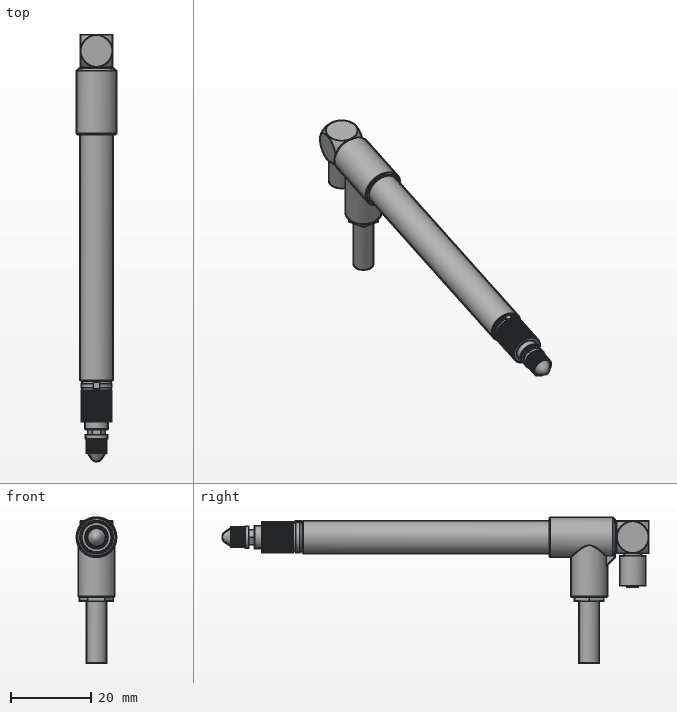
import cadquery as cq
import math


block_size = 8.1
block_face_diameter = 7.9
link_diameter = 7.0
jack_diameter = 6.6
jack_neck_diameter = 4.5
jack_pin_diameter = 2.9
jack_top = 4.7
jack_bottom = 12.2
jack_pin_bottom = 12.5

housing_diameter = 10.0
housing_start = 8.4
housing_end = 25.0
housing_rear_chamfer = 0.6
housing_front_chamfer = 0.3
outlet_position = 14.9
outlet_diameter = 9.2
outlet_bottom = 15.0
outlet_chamfer = 0.3
hex_nut_flats = 7.4
hex_nut_bottom = 16.0
cable_diameter = 5.1
cable_bottom = 31.5
web_thickness = 3.6
web_reach = 2.6

barrel_diameter = 8.3
barrel_end = 86.4

sleeve_diameter = 7.7
sleeve_end = 96.8
knurl_depth = 0.16
sleeve_flutes = 36
ring_count = 12
ring_pitch = 0.6
ring_width = 0.2
flute_share = 0.5
band_groove_width = 0.6
band_groove_inset = 0.2
key_length = 1.6
key_width = 1.6
key_rear_gap = 0.4

collar_diameter = 5.8
collar_end = 98.7
collar_chamfer = 0.2
neck_flats = 3.8
neck_end = 100.0
rim_diameter = 5.5
rim_end = 100.9
crown_diameter = 5.1
crown_flutes = 24
crown_end = 104.6
nose_base_diameter = 4.5
nose_tip_radius = 1.2
nose_tip_height = 0.5
overall_length = 106.7


def along_axis(distance):
    """Workplane across the main axis; its normal points forward (-Y)."""
    return cq.Workplane("XZ", origin=(0, -distance, 0))


def rod(diameter, start, end):
    """Cylinder on the main axis between two distances from the rear face."""
    return along_axis(start).circle(diameter / 2).extrude(end - start)


def hanging(position, depth):
    """Workplane facing down, at a given depth below the main axis."""
    return cq.Workplane("XY", origin=(0, -position, -depth))


def drop(diameter, position, top, bottom):
    """Vertical cylinder hanging between two depths below the main axis."""
    return hanging(position, top).circle(diameter / 2).extrude(top - bottom)


def hex_corner_diameter(across_flats):
    return across_flats / math.cos(math.pi / 6)


def fluted_rod(diameter, flutes, groove_share, start, end):
    """Rod with V-shaped lengthwise flutes; groove_share is their part of the circumference."""
    crest_radius = diameter / 2
    valley_radius = crest_radius - knurl_depth
    pitch = 2 * math.pi / flutes
    half_groove = pitch * groove_share / 2
    outline = [
        (radius, i * pitch + offset)
        for i in range(flutes)
        for radius, offset in (
            (crest_radius, -half_groove),
            (valley_radius, 0),
            (crest_radius, half_groove),
        )
    ]
    points = [(radius * math.cos(angle), radius * math.sin(angle)) for radius, angle in outline]
    return along_axis(start).polyline(points).close().extrude(end - start)


def ring_groove(start, width):
    """Ring-shaped cutter for a shallow groove around the sleeve."""
    return (
        along_axis(start)
        .circle(sleeve_diameter / 2 + knurl_depth)
        .circle(sleeve_diameter / 2 - knurl_depth)
        .extrude(width)
    )


def elbow_block():
    """Cube whose corners are rounded by a sphere, leaving a round flat on each face."""
    center = (0, -block_size / 2, 0)
    sphere_radius = math.hypot(block_size / 2, block_face_diameter / 2)
    cube = cq.Workplane("XY").box(block_size, block_size, block_size).translate(center)
    return cube.intersect(cq.Workplane("XY").sphere(sphere_radius).translate(center))


def jack():
    position = block_size / 2
    body = drop(jack_diameter, position, jack_top, jack_bottom)
    body = body.union(drop(jack_neck_diameter, position, 0, jack_top))
    return body.union(drop(jack_pin_diameter, position, jack_bottom, jack_pin_bottom))


def housing():
    tube = rod(housing_diameter, housing_start, housing_end)
    tube = tube.faces(">Y").chamfer(housing_rear_chamfer)
    return tube.faces("<Y").chamfer(housing_front_chamfer)


def cable_outlet():
    outlet = drop(outlet_diameter, outlet_position, 0, outlet_bottom)
    outlet = outlet.faces("<Z").chamfer(outlet_chamfer)
    nut = (
        hanging(outlet_position, outlet_bottom)
        .polygon(6, hex_corner_diameter(hex_nut_flats))
        .extrude(outlet_bottom - hex_nut_bottom)
    )
    cable = drop(cable_diameter, outlet_position, hex_nut_bottom, cable_bottom)
    return outlet.union(nut).union(cable)


def web():
    """Sloping web between the rear of the housing and the cable outlet."""
    rear_z = -housing_diameter / 2
    front = -outlet_position
    return (
        cq.Workplane("YZ")
        .moveTo(-housing_start, 0)
        .lineTo(-housing_start, rear_z)
        .lineTo(-housing_start - web_reach, rear_z - web_reach)
        .lineTo(front, rear_z - web_reach)
        .lineTo(front, 0)
        .close()
        .extrude(web_thickness / 2, both=True)
    )


def collet_sleeve():
    """Band with two grooves and a key on top, followed by a cross-knurled grip."""
    knurl_start = sleeve_end - ring_count * ring_pitch
    band = rod(sleeve_diameter, barrel_end, knurl_start)
    rear_groove = barrel_end + band_groove_inset
    front_groove = knurl_start - band_groove_inset - band_groove_width
    for start in (rear_groove, front_groove):
        band = band.cut(ring_groove(start, band_groove_width))

    grip = fluted_rod(sleeve_diameter, sleeve_flutes, flute_share, knurl_start, sleeve_end)
    for i in range(ring_count):
        grip = grip.cut(ring_groove(knurl_start + i * ring_pitch, ring_width))

    key_height = barrel_diameter / 2
    key = (
        along_axis(barrel_end + key_rear_gap)
        .center(0, key_height / 2)
        .rect(key_width, key_height)
        .extrude(key_length)
    )
    return band.union(grip).union(key)


def front_end():
    collar = rod(collar_diameter, sleeve_end, collar_end).faces("<Y").chamfer(collar_chamfer)
    neck = (
        along_axis(collar_end)
        .polygon(6, hex_corner_diameter(neck_flats))
        .extrude(neck_end - collar_end)
    )
    rim = rod(rim_diameter, neck_end, rim_end)
    crown = fluted_rod(crown_diameter, crown_flutes, flute_share, rim_end, crown_end)
    return collar.union(neck).union(rim).union(crown)


def nose():
    """Cone ending in a shallow dome."""
    dome_radius = (nose_tip_radius**2 + nose_tip_height**2) / (2 * nose_tip_height)
    half_angle = math.asin(nose_tip_radius / dome_radius) / 2
    dome_middle = (
        dome_radius * math.sin(half_angle),
        -overall_length + dome_radius * (1 - math.cos(half_angle)),
    )
    return (
        cq.Workplane("XY")
        .moveTo(0, -crown_end)
        .lineTo(nose_base_diameter / 2, -crown_end)
        .lineTo(nose_tip_radius, -overall_length + nose_tip_height)
        .threePointArc(dome_middle, (0, -overall_length))
        .close()
        .revolve(360, (0, 0, 0), (0, 1, 0))
    )


result = (
    elbow_block()
    .union(jack())
    .union(rod(link_diameter, block_size / 2, housing_start))
    .union(housing())
    .union(cable_outlet())
    .union(web())
    .union(rod(barrel_diameter, housing_end, barrel_end))
    .union(collet_sleeve())
    .union(front_end())
    .union(nose())
)